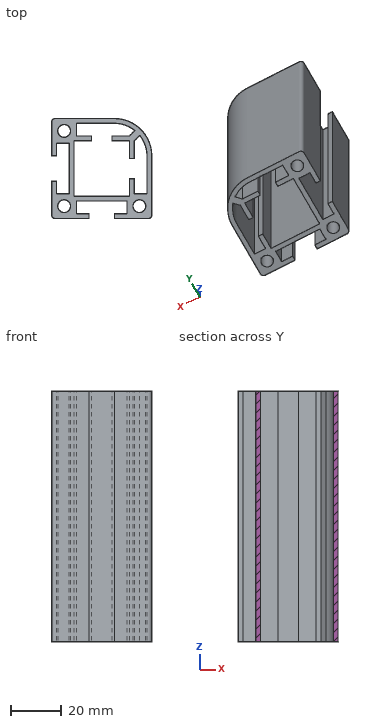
import cadquery as cq
import math

side = 40.0
length = 100.0
wall = 2.0
edge_radius = 1.5
large_radius = 15.0

block = 10.0
hole_diameter = 5.0

slot_opening = 10.0
core_opening = 8.0
slot_depth = 5.0

middle = side / 2
inner_face = side - wall
slot_floor = wall + slot_depth
core_start = slot_floor + wall
core_end = side - core_start
lip_outer = side - slot_floor
slot_end = side - block
arc_center = side - large_radius
inner_radius = large_radius - wall


def box(x_start, x_end, y_start, y_end):
    """Full-length prism between the given X and Y limits."""
    return (
        cq.Workplane("XY")
        .rect(x_end - x_start, y_end - y_start)
        .extrude(length)
        .translate(((x_start + x_end) / 2, (y_start + y_end) / 2, 0))
    )


def closed_face_slot():
    """Slot below the +Y wall, ending at the arc and the diagonal web."""
    along_diagonal = math.sqrt(inner_radius**2 / 2 - (wall / 2) ** 2)
    web_x = along_diagonal - wall / 2
    web_y = along_diagonal + wall / 2
    middle_angle = (math.pi / 2 + math.atan2(web_y, web_x)) / 2
    arc_middle = (
        arc_center + inner_radius * math.cos(middle_angle),
        arc_center + inner_radius * math.sin(middle_angle),
    )
    return (
        cq.Workplane("XY")
        .moveTo(block, lip_outer)
        .lineTo(block, inner_face)
        .lineTo(arc_center, inner_face)
        .threePointArc(arc_middle, (arc_center + web_x, arc_center + web_y))
        .lineTo(core_end, lip_outer)
        .close()
        .extrude(length)
    )


body = box(0, side, 0, side)
body = body.edges("|Z and >X and >Y").fillet(large_radius)
for corner in ("<X and <Y", "<X and >Y", ">X and <Y"):
    body = body.edges("|Z and " + corner).fillet(edge_radius)

body = body.cut(box(core_start, core_end, core_start, core_end))

opening_start = middle - slot_opening / 2
opening_end = middle + slot_opening / 2
body = body.cut(box(wall, slot_floor, block, slot_end))
body = body.cut(box(0, wall, opening_start, opening_end))
body = body.cut(box(block, slot_end, wall, slot_floor))
body = body.cut(box(opening_start, opening_end, 0, wall))

top_slot = closed_face_slot()
side_slot = top_slot.mirror("YZ").rotate((0, 0, 0), (0, 0, 1), -90)
body = body.cut(top_slot).cut(side_slot)
gap_start = middle - core_opening / 2
gap_end = middle + core_opening / 2
body = body.cut(box(gap_start, gap_end, core_end, lip_outer))
body = body.cut(box(core_end, lip_outer, gap_start, gap_end))

near = block / 2
far = side - near
holes = (
    cq.Workplane("XY")
    .pushPoints([(near, near), (near, far), (far, near)])
    .circle(hole_diameter / 2)
    .extrude(length)
)
result = body.cut(holes)